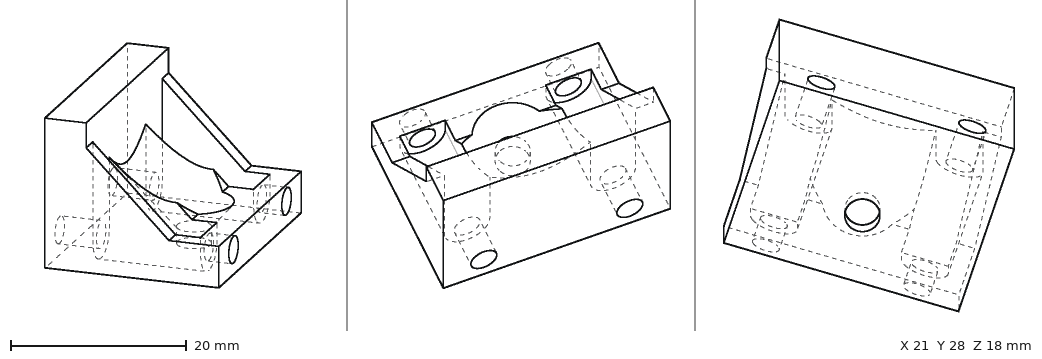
import cadquery as cq
import math

length = 21.0
width = 28.0
height = 18.0
wall_thickness = 5.0
base_thickness = 5.0
slope_run = 10.0

side_hole_diameter = 3.2
side_hole_y = 9.0
side_hole_z = 3.0
slot_width = 5.6
slot_end_x = 18.0

sink_hole_diameter = 4.0
sink_hole_x = 13.0
sink_start_z = 2.0
sink_angle = 82.0


def make_body():
    """Side profile extruded across the full width, centred on Y = 0."""
    slope_foot_x = wall_thickness + slope_run
    slope_top_z = base_thickness + slope_run
    profile = [
        (0, 0),
        (length, 0),
        (length, base_thickness),
        (slope_foot_x, base_thickness),
        (wall_thickness, slope_top_z),
        (wall_thickness, height),
        (0, height),
    ]
    return cq.Workplane("XZ").polyline(profile).close().extrude(width / 2, both=True)


def make_side_hole(y):
    """Round hole along X, running the full length of the part."""
    return (
        cq.Workplane("YZ")
        .center(y, side_hole_z)
        .circle(side_hole_diameter / 2)
        .extrude(length)
    )


def make_head_slot(y):
    """Open-topped slot along X with a half-round floor around the side hole axis."""
    radius = slot_width / 2
    return (
        cq.Workplane("YZ", origin=(wall_thickness, y, side_hole_z))
        .moveTo(-radius, height)
        .lineTo(-radius, 0)
        .threePointArc((0, -radius), (radius, 0))
        .lineTo(radius, height)
        .close()
        .extrude(slot_end_x - wall_thickness)
    )


def make_countersunk_hole():
    """Straight hole opening into a cone, kept clear of the tall wall."""
    hole_radius = sink_hole_diameter / 2
    cone_spread = (height - sink_start_z) * math.tan(math.radians(sink_angle / 2))
    half_section = [
        (0, 0),
        (hole_radius, 0),
        (hole_radius, sink_start_z),
        (hole_radius + cone_spread, height),
        (0, height),
    ]
    cutter = (
        cq.Workplane("XZ", origin=(sink_hole_x, 0, 0))
        .polyline(half_section)
        .close()
        .revolve(360, (0, 0), (0, 1))
    )
    space_beside_wall = cq.Workplane("XY").box(
        length - wall_thickness, width, height, centered=(False, True, False)
    ).translate((wall_thickness, 0, 0))
    return cutter.intersect(space_beside_wall)


result = make_body().cut(make_countersunk_hole())
for hole_y in (-side_hole_y, side_hole_y):
    result = result.cut(make_head_slot(hole_y)).cut(make_side_hole(hole_y))